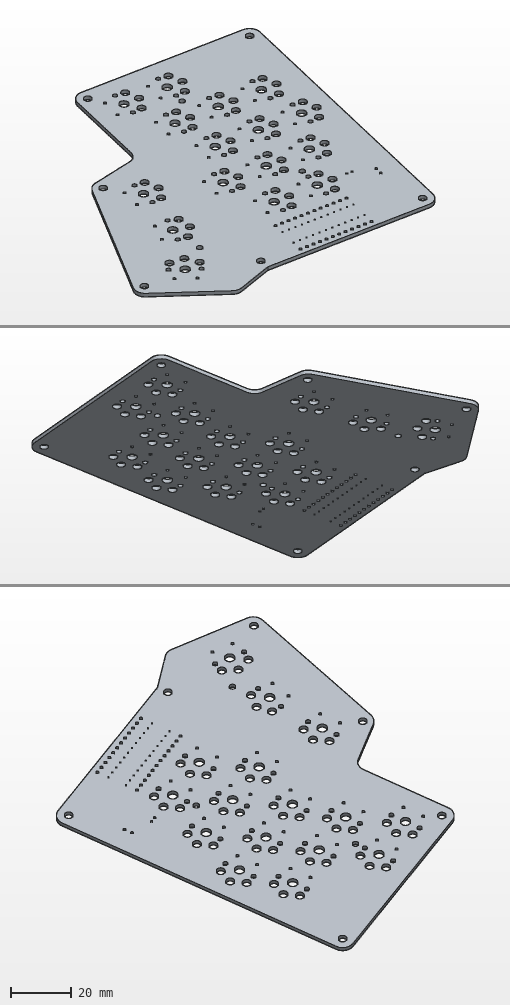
import cadquery as cq
import math

LENGTH_X = 119.3
LENGTH_Y = 111.5
THICKNESS = 1.5

CORNER_RADIUS = 4.0
MAIN_WIDTH = 114.0
MAIN_BOTTOM = 39.7
MAIN_LEFT_X = CORNER_RADIUS
MAIN_RIGHT_X = MAIN_WIDTH - CORNER_RADIUS
MAIN_TOP_Y = LENGTH_Y - CORNER_RADIUS
MAIN_LOW_Y = MAIN_BOTTOM + CORNER_RADIUS
RIGHT_BEND_Y = 43.2
THUMB_TIP = (LENGTH_X - CORNER_RADIUS, 29.0)
THUMB_LOW = (100.9, CORNER_RADIUS)
THUMB_LEFT = (48.4, 21.6)
NOTCH_X = 43.2

MOUNT_DIAMETER = 2.9
THUMB_MOUNTS = [(48.1, 21.5), (100.8, 3.8)]

COLUMN_PITCH = 18.0
THREE_ROW_HEIGHT = 34.0
ROW_PITCH = THREE_ROW_HEIGHT / 2
COLUMN_STEP = ROW_PITCH / 4
FIRST_COLUMN_X = 13.0
TOP_KEY_Y = 99.0
COLUMN_DROPS = [7, 1, 0, 2, 4]
COLUMN_KEYS = [2, 3, 3, 3, 2]

THUMB_KEYS = [((58.0, 31.0), 0), ((79.9, 28.4), -15), ((100.3, 20.2), 60)]

STEM_DIAMETER = 3.5
CONTACT_DIAMETER = 3.0
CONTACT_X = 5.0
CONTACT_Y = 3.7
TOP_CONTACT_Y = 6.0
PEG_DIAMETER = 1.7
PEG_X = 5.5
DIODE_DIAMETER = 0.99
DIODE_X = 3.8
DIODE_Y = -5.0

SPACER_DIAMETER = 2.1
SPACER_HOLES = [(22.1, 69.3), (76.0, 81.9), (92.9, 30.6)]

PIN_COUNT = 12
PIN_ROW_LENGTH = 27.9
PIN_PITCH = PIN_ROW_LENGTH / (PIN_COUNT - 1)
PIN_TOP_Y = 86.2
PIN_ROWS_CENTRE_X = 104.0
PIN_ROW_SPACING = 15.3
PIN_DIAMETER = 1.0
VIA_ROW_SPACING = 6.8
VIA_DIAMETER = 0.4

BATTERY_DIAMETER = 0.9
BATTERY_HOLES = [(88.0, 103.3), (90.9, 103.3)]
RESET_DIAMETER = 0.75
RESET_HOLES = [(85.0, 95.6), (85.0, 93.6)]


def make_plate():
    corner_centres = [
        (MAIN_LEFT_X, MAIN_TOP_Y),
        (MAIN_RIGHT_X, MAIN_TOP_Y),
        (MAIN_RIGHT_X, RIGHT_BEND_Y),
        THUMB_TIP,
        THUMB_LOW,
        THUMB_LEFT,
        (NOTCH_X, MAIN_LOW_Y),
        (MAIN_LEFT_X, MAIN_LOW_Y),
    ]
    outline = cq.Workplane("XY").polyline(corner_centres).close().offset2D(CORNER_RADIUS)
    plate = outline.extrude(THICKNESS)
    notch = cq.selectors.NearestToPointSelector((NOTCH_X, MAIN_BOTTOM, THICKNESS / 2))
    return plate.edges("|Z").edges(notch).fillet(CORNER_RADIUS)


def drill(points, diameter):
    """Cylinders through the plate at the given places."""
    return cq.Workplane("XY").pushPoints(points).circle(diameter / 2).extrude(THICKNESS).vals()


def place(points, centre, turn):
    """Turn points about a key centre and move them there."""
    c = math.cos(math.radians(turn))
    s = math.sin(math.radians(turn))
    return [(centre[0] + x * c - y * s, centre[1] + x * s + y * c) for x, y in points]


def key_holes(centre, turn=0):
    """All holes of one key switch and its diode."""
    contacts = [(0, TOP_CONTACT_Y), (-CONTACT_X, CONTACT_Y), (CONTACT_X, CONTACT_Y)]
    pegs = [(-PEG_X, 0), (PEG_X, 0)]
    diodes = [(-DIODE_X, DIODE_Y), (DIODE_X, DIODE_Y)]
    return (
        drill([centre], STEM_DIAMETER)
        + drill(place(contacts, centre, turn), CONTACT_DIAMETER)
        + drill(place(pegs, centre, turn), PEG_DIAMETER)
        + drill(place(diodes, centre, turn), DIODE_DIAMETER)
    )


def controller_rows(spacing):
    """Places of two parallel rows, the given distance apart."""
    return [
        (PIN_ROWS_CENTRE_X + side * spacing / 2, PIN_TOP_Y - i * PIN_PITCH)
        for side in (-1, 1)
        for i in range(PIN_COUNT)
    ]


cutters = []
for column, (drop, count) in enumerate(zip(COLUMN_DROPS, COLUMN_KEYS)):
    for row in range(count):
        x = FIRST_COLUMN_X + column * COLUMN_PITCH
        y = TOP_KEY_Y - drop * COLUMN_STEP - row * ROW_PITCH
        cutters += key_holes((x, y))
for centre, turn in THUMB_KEYS:
    cutters += key_holes(centre, turn)

main_mounts = [(x, y) for x in (MAIN_LEFT_X, MAIN_RIGHT_X) for y in (MAIN_LOW_Y, MAIN_TOP_Y)]
cutters += drill(main_mounts + THUMB_MOUNTS, MOUNT_DIAMETER)
cutters += drill(SPACER_HOLES, SPACER_DIAMETER)
cutters += drill(controller_rows(PIN_ROW_SPACING), PIN_DIAMETER)
cutters += drill(controller_rows(VIA_ROW_SPACING), VIA_DIAMETER)
cutters += drill(BATTERY_HOLES, BATTERY_DIAMETER)
cutters += drill(RESET_HOLES, RESET_DIAMETER)

result = cq.Workplane(make_plate().val().cut(*cutters))